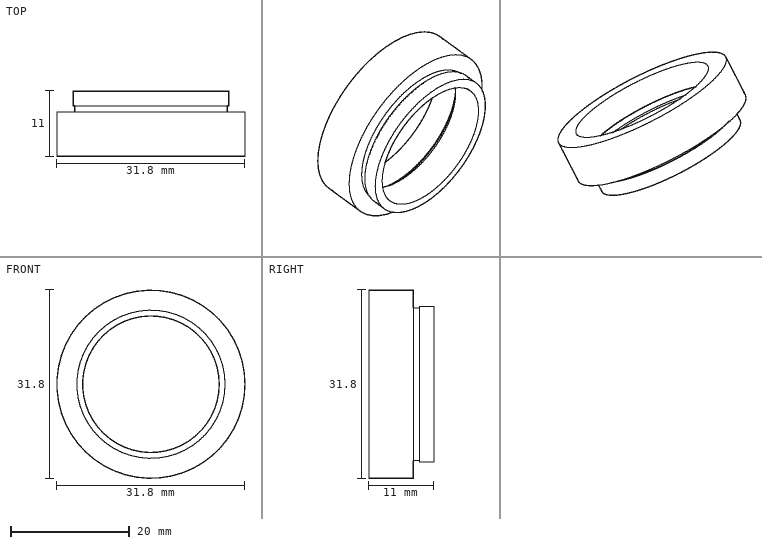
import cadquery as cq

body_length = 7.5
neck_length = 1.02
lip_length = 2.48
total_length = body_length + neck_length + lip_length

body_diameter = 31.75
neck_diameter = 25.78
lip_diameter = 26.3

bore_diameter = 23.0
counterbore_diameter = 25.0
counterbore_depth = 5.5

groove_diameter = 25.5
groove_width = 1.0


def disc(diameter, start, length):
    """Cylinder along +Y whose near face lies at Y = start."""
    plane = cq.Workplane("XZ", origin=(0, start, 0))
    return plane.circle(diameter / 2).extrude(-length)


body = disc(body_diameter, 0, body_length)
neck = disc(neck_diameter, body_length, neck_length)
lip = disc(lip_diameter, body_length + neck_length, lip_length)

bore = disc(bore_diameter, 0, total_length)
counterbore = disc(counterbore_diameter, 0, counterbore_depth)
groove = disc(groove_diameter, counterbore_depth - groove_width, groove_width)

result = body.union(neck).union(lip).cut(bore).cut(counterbore).cut(groove)